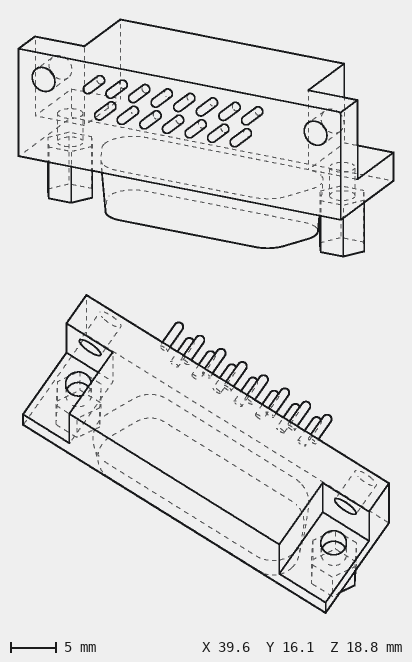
import cadquery as cq
import math

BODY_WIDTH = 39.62
BODY_DEPTH = 12.55
BODY_HEIGHT = 12.7
BACK_WALL = 3.96
FLANGE_THICKNESS = 3.35
EAR_WIDTH = 6.06

HOLE_DIAMETER = 2.8
HOLE_PITCH = 33.42
WALL_HOLE_DROP = 3.05
HEX_ACROSS_FLATS = 4.78
MOUNT_Y = BODY_DEPTH / 2
MOUNT_XS = (-HOLE_PITCH / 2, HOLE_PITCH / 2)

SHELL_LENGTH = 6.1
SHELL_WIDTH = 26.32
SHELL_DEPTH = 9.84
SHELL_CORNER_RADIUS = 3.42
SHELL_SIDE_ANGLE = 25
SHELL_DRAFT = 5

PIN_DIAMETER = 1.0
PIN_LENGTH = 3.5
PIN_PITCH = 2.775
PIN_ROW_SPACING = 2.84
PIN_ROW_DROP = 1.765
PIN_ROW_COUNTS = (8, 7)


def make_housing():
    """Block with both upper rear ears cut away, leaving back wall and flange."""
    housing = cq.Workplane("XY").box(BODY_WIDTH, BODY_DEPTH, BODY_HEIGHT, centered=(True, False, False))
    for ear_x in (-BODY_WIDTH / 2, BODY_WIDTH / 2 - EAR_WIDTH):
        notch = cq.Workplane("XY").box(
            EAR_WIDTH, BODY_DEPTH - BACK_WALL, BODY_HEIGHT - FLANGE_THICKNESS, centered=False
        )
        housing = housing.cut(notch.translate((ear_x, BACK_WALL, FLANGE_THICKNESS)))
    return housing


def cut_mounting_holes(housing):
    """One hole through the back wall and one through the flange at each end."""
    radius = HOLE_DIAMETER / 2
    for x in MOUNT_XS:
        wall_start = cq.Vector(x, 0, BODY_HEIGHT - WALL_HOLE_DROP)
        flange_start = cq.Vector(x, MOUNT_Y, 0)
        housing = housing.cut(cq.Solid.makeCylinder(radius, BACK_WALL, wall_start, cq.Vector(0, 1, 0)))
        housing = housing.cut(cq.Solid.makeCylinder(radius, FLANGE_THICKNESS, flange_start))
    return housing


def make_jack_screws():
    """Hexagons below the flange, closing the lower ends of the flange holes."""
    across_corners = HEX_ACROSS_FLATS / math.cos(math.pi / 6)
    centres = [(x, MOUNT_Y) for x in MOUNT_XS]
    return cq.Workplane("XY").pushPoints(centres).polygon(6, across_corners).extrude(-SHELL_LENGTH)


def make_shell():
    """Rounded trapezoid, narrow towards the pins, shrinking away from the housing."""
    angle = math.radians(SHELL_SIDE_ANGLE)
    radius = SHELL_CORNER_RADIUS
    arc_x = SHELL_WIDTH / 2 - radius
    arc_y = SHELL_DEPTH / 2 - radius
    tangent_x = arc_x + radius * math.cos(angle)
    tangent_y = arc_y - radius * math.sin(angle)
    rear_x = tangent_x + (SHELL_DEPTH / 2 - tangent_y) * math.tan(angle)
    front_x = rear_x - SHELL_DEPTH * math.tan(angle)
    corners = [
        (-front_x, -SHELL_DEPTH / 2),
        (front_x, -SHELL_DEPTH / 2),
        (rear_x, SHELL_DEPTH / 2),
        (-rear_x, SHELL_DEPTH / 2),
    ]
    outline = cq.Sketch().polygon(corners + corners[:1]).vertices().fillet(radius)
    shell = cq.Workplane("XY").placeSketch(outline).extrude(-SHELL_LENGTH, taper=SHELL_DRAFT)
    return shell.translate((0, MOUNT_Y, 0))


def make_pin(x, z):
    """Pin standing out of the back wall, turned about its axis with a half-ball tip."""
    radius = PIN_DIAMETER / 2
    straight = PIN_LENGTH - radius
    diagonal = radius * math.sqrt(0.5)
    profile = (
        cq.Workplane("YZ")
        .lineTo(0, radius)
        .lineTo(-straight, radius)
        .threePointArc((-straight - diagonal, diagonal), (-PIN_LENGTH, 0))
        .close()
    )
    return profile.revolve(360, (0, 0, 0), (1, 0, 0)).translate((x, 0, z))


def add_pins(part):
    """Two staggered rows of pins, each centred on the housing."""
    for row, count in enumerate(PIN_ROW_COUNTS):
        z = BODY_HEIGHT - PIN_ROW_DROP - row * PIN_ROW_SPACING
        for index in range(count):
            x = (index - (count - 1) / 2) * PIN_PITCH
            part = part.union(make_pin(x, z))
    return part


result = cut_mounting_holes(make_housing())
result = result.union(make_jack_screws()).union(make_shell())
result = add_pins(result)